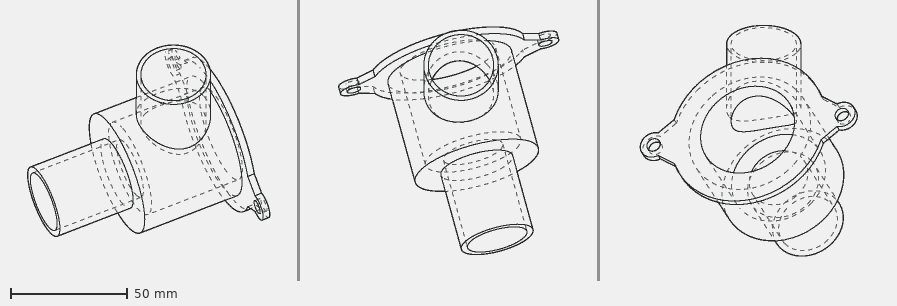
import cadquery as cq
import math

flange_radius = 34.9
flange_thickness = 3.2
ear_hole_diameter = 6.0
ear_radius = 6.0
ear_center_x = 48.5 - ear_radius
neck_inner_half_width = 10.9
neck_outer_half_width = 5.6

body_diameter = 55.0
body_length = 46.4
cavity_diameter = 42.5
body_wall = (body_diameter - cavity_diameter) / 2

pipe_diameter = 32.0
front_pipe_length = 34.9
front_bore_diameter = 26.5
top_pipe_height = 55.0
top_pipe_offset = 22.6
top_bore_diameter = 28.0

body_end = flange_thickness + body_length
front_pipe_end = body_end + front_pipe_length
cavity_depth = body_end - body_wall


def rod_forward(diameter, start, end, x=0.0):
    """Cylinder along -Y between two distances from the flange back."""
    return (
        cq.Workplane("XZ", origin=(0, -start, 0))
        .center(x, 0)
        .circle(diameter / 2)
        .extrude(end - start)
    )


def rod_up(diameter):
    """Cylinder on the top pipe axis, rising from the body axis."""
    return (
        cq.Workplane("XY", origin=(0, -top_pipe_offset, 0))
        .circle(diameter / 2)
        .extrude(top_pipe_height)
    )


def make_flange():
    """Round plate with two opposite ears on tapered necks."""
    rim_x = math.sqrt(flange_radius**2 - neck_inner_half_width**2)
    ear_x = ear_center_x - math.sqrt(ear_radius**2 - neck_outer_half_width**2)
    neck_points = [
        (-ear_x, -neck_outer_half_width),
        (-rim_x, -neck_inner_half_width),
        (rim_x, -neck_inner_half_width),
        (ear_x, -neck_outer_half_width),
        (ear_x, neck_outer_half_width),
        (rim_x, neck_inner_half_width),
        (-rim_x, neck_inner_half_width),
        (-ear_x, neck_outer_half_width),
    ]
    necks = cq.Workplane("XZ").polyline(neck_points).close().extrude(flange_thickness)
    flange = rod_forward(2 * flange_radius, 0, flange_thickness).union(necks)
    for side in (-1, 1):
        x = side * ear_center_x
        flange = flange.union(rod_forward(2 * ear_radius, 0, flange_thickness, x))
        flange = flange.cut(rod_forward(ear_hole_diameter, 0, flange_thickness, x))
    return flange


def make_outside():
    """Flange, body and both pipes before they are hollowed."""
    body = rod_forward(body_diameter, 0, body_end)
    front_pipe = rod_forward(pipe_diameter, body_end - body_wall, front_pipe_end)
    return make_flange().union(body).union(front_pipe).union(rod_up(pipe_diameter))


def make_inside():
    """Cavity open at the flange back, joined by the two pipe bores."""
    cavity = rod_forward(cavity_diameter, 0, cavity_depth)
    front_bore = rod_forward(front_bore_diameter, 0, front_pipe_end)
    return cavity.union(front_bore).union(rod_up(top_bore_diameter))


result = make_outside().cut(make_inside())